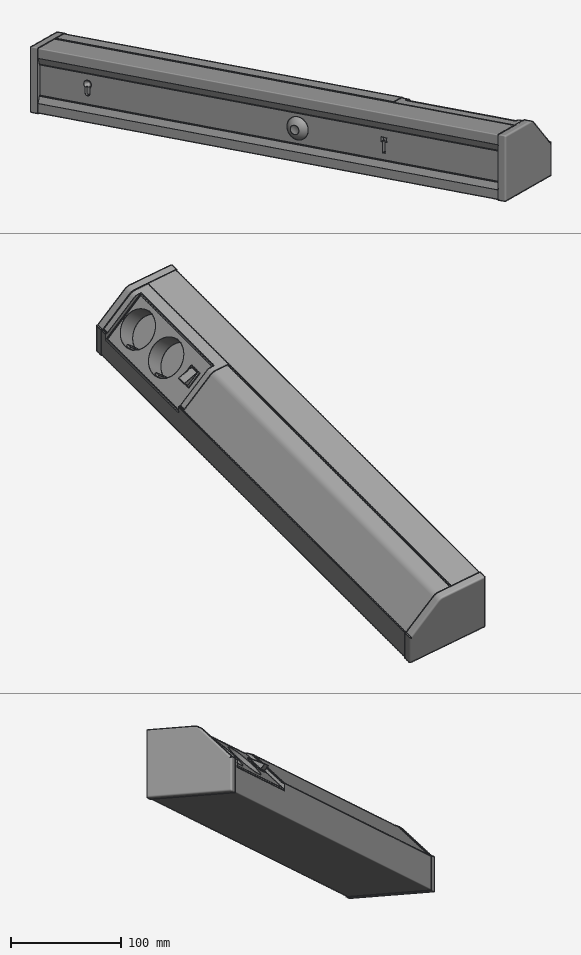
import cadquery as cq
import math

length = 499.0
depth = 84.0
height = 63.5

cap_thickness = 8.5
cap_edge_radius = 1.75
profile_inset = 0.5
corner_radius = 1.0
slope_ledge = 1.5
slope_run = 32.5
slope_foot = 32.5
slope_foot_y = depth - slope_ledge
ridge_radius = 9.0
slope_angle = math.atan2(height - slope_foot, slope_run)
mid_height = height / 2

channel_mouth = 43.5
channel_floor = 31.0
channel_depth = 2.5
strip_width = 29.5
strip_step = 1.0
floor_y = profile_inset + channel_depth + strip_step

joint_y = 32.0
joint_depth = 0.5
joint_width = 1.5
joint_x = 362.5
section_top = height - profile_inset - joint_depth

recess_start = 369.0
recess_end = 484.5
recess_depth = 5.0
panel_start = 369.5
panel_end = 483.0
panel_thickness = 1.0
panel_gap = 0.5
panel_depth = recess_depth - panel_thickness

socket_diameter = 39.0
socket_depth = 20.0
socket_centers = (416.5, 461.5)
socket_up_slope = 22.5
clip_width = 4.5
clip_reach = 2.0
clip_drop = 4.5

rocker_x = 381.5
rocker_width = 9.0
rocker_start = 18.5
rocker_end = 33.5
rocker_tall = 7.0
rocker_low = 1.5
frame_width = 13.0
frame_margin = 1.0
frame_height = 1.0

keyhole_depth = 5.0
round_keyhole_x = 58.5
round_head_diameter = 8.0
round_head_z = 36.0
round_head_taper = 36
round_slot_width = 5.0
round_slot_end_z = 27.5
round_slot_taper = 30
round_slot_depth = 1.5
square_keyhole_x = 369.0
square_head_width = 6.0
square_head_top = 38.5
square_head_bottom = 34.0
square_slot_width = 3.0
square_slot_bottom = 23.5

knob_x = 278.5
knob_diameter = 26.0
knob_overhang = 1.5
dimple_diameter = 9.0
dimple_depth = 1.0



def section(inset, x_start, x_length):
    """Housing cross-section, drawn in by inset all round and extruded along X."""
    back = depth - inset
    top = height - inset
    foot = slope_foot - inset
    inset_shift = inset * math.tan(slope_angle / 2)
    foot_y = slope_foot_y - inset_shift
    ridge_y = slope_foot_y - slope_run - inset_shift
    block = (
        cq.Workplane("YZ", origin=(x_start, 0, 0))
        .polyline([(inset, inset), (back, inset), (back, foot), (foot_y, foot), (ridge_y, top), (inset, top)])
        .close()
        .extrude(x_length)
    )
    ridge_middle = (x_start + x_length / 2, ridge_y, top)
    block = block.edges(cq.NearestToPointSelector(ridge_middle)).fillet(ridge_radius)
    return block.edges("|X and (<Y or <Z)").fillet(corner_radius)


def end_cap(x_start, outer_face):
    return section(0, x_start, cap_thickness).faces(outer_face).edges().fillet(cap_edge_radius)


def channel():
    """Trapezoid channel with a shallow step in its floor, open to -Y."""
    half_section = [
        (0, channel_mouth / 2),
        (channel_depth, channel_floor / 2),
        (channel_depth, strip_width / 2),
        (channel_depth + strip_step, strip_width / 2),
    ]
    points = [(profile_inset + y, mid_height + z) for y, z in half_section]
    points += [(profile_inset + y, mid_height - z) for y, z in reversed(half_section)]
    return (
        cq.Workplane("YZ", origin=(cap_thickness, 0, 0))
        .polyline(points)
        .close()
        .extrude(length - 2 * cap_thickness)
    )


def floor_plane(y):
    """XZ workplane at the given Y, seen from -Y, so extruding goes towards -Y."""
    return cq.Workplane("XZ", origin=(0, y, 0))


def round_keyhole():
    """Conical head with a tapered slot below it."""
    slot_length = round_head_z - round_slot_end_z + round_slot_width
    head = (
        floor_plane(floor_y)
        .center(round_keyhole_x, round_head_z)
        .circle(round_head_diameter / 2)
        .extrude(-keyhole_depth, taper=round_head_taper)
    )
    slot = (
        floor_plane(floor_y)
        .center(round_keyhole_x, (round_head_z + round_slot_end_z) / 2)
        .slot2D(slot_length, round_slot_width, 90)
        .extrude(-round_slot_depth, taper=round_slot_taper)
    )
    return head.union(slot)


def square_pocket(width, bottom):
    """Rectangular pocket from the top of the square keyhole down to the given height."""
    return (
        floor_plane(floor_y)
        .center(square_keyhole_x, (bottom + square_head_top) / 2)
        .rect(width, square_head_top - bottom)
        .extrude(-keyhole_depth)
    )


def square_keyhole():
    head = square_pocket(square_head_width, square_head_bottom)
    slot = square_pocket(square_slot_width, square_slot_bottom)
    return head.union(slot)


def slope_plane(x, up_slope, below=0.0):
    """Workplane on the slope: local x along X, local y down the slope, normal outwards."""
    y = slope_foot_y - up_slope * math.cos(slope_angle) - below * math.sin(slope_angle)
    z = slope_foot + up_slope * math.sin(slope_angle) - below * math.cos(slope_angle)
    normal = (0, math.sin(slope_angle), math.cos(slope_angle))
    return cq.Workplane(cq.Plane(origin=(x, y, z), xDir=(1, 0, 0), normal=normal))


def cover_joint():
    """Shallow groove along the cover and the slightly lower top of the socket section."""
    groove = (
        cq.Workplane("XY")
        .box(joint_x - cap_thickness, joint_width, joint_depth, centered=False)
        .translate((cap_thickness, joint_y, section_top))
    )
    section_length = length - cap_thickness - joint_x
    skin = (
        cq.Workplane("XY")
        .box(section_length, depth - joint_y, height, centered=False)
        .translate((joint_x, joint_y, slope_foot))
        .cut(section(profile_inset + joint_depth, joint_x, section_length))
    )
    return groove.union(skin)


def above_slope(x_start, x_end, below, y_end, top):
    """Space above a floor parallel to the slope, from Y = y_end up to the height top."""
    floor_z = slope_foot - below / math.cos(slope_angle)
    end_z = floor_z - (y_end - slope_foot_y) * math.tan(slope_angle)
    top_y = slope_foot_y - (top - floor_z) / math.tan(slope_angle)
    return (
        cq.Workplane("YZ", origin=(x_start, 0, 0))
        .polyline([(y_end, end_z), (y_end, top), (top_y, top)])
        .close()
        .extrude(x_end - x_start)
    )


def recess():
    """Recess with a floor parallel to the slope, open to the top face and to the +Y side."""
    return above_slope(recess_start, recess_end, recess_depth, depth, section_top)


def socket_panel():
    """Thin plate on the floor of the recess."""
    panel_top = section_top - panel_gap
    plate = above_slope(panel_start, panel_end, recess_depth, slope_foot_y, panel_top)
    return plate.cut(above_slope(panel_start, panel_end, panel_depth, slope_foot_y, panel_top))


def socket_well(x):
    """Round socket with an earth clip left standing on its lower side."""
    radius = socket_diameter / 2
    well = slope_plane(x, socket_up_slope, panel_depth).circle(radius).extrude(-socket_depth)
    clip = (
        slope_plane(x, socket_up_slope, panel_depth + clip_drop)
        .center(0, radius)
        .rect(clip_width, 2 * clip_reach)
        .extrude(clip_drop - socket_depth)
    )
    return well.cut(clip)


def rocker():
    """Wedge-shaped switch, tallest at its lower end, on a rectangular frame."""
    frame_length = rocker_end - rocker_start + 2 * frame_margin
    frame = (
        slope_plane(rocker_x, (rocker_start + rocker_end) / 2, panel_depth)
        .rect(frame_width, frame_length)
        .extrude(frame_height)
    )
    panel = slope_plane(rocker_x - rocker_width / 2, 0, panel_depth).plane
    side = cq.Plane(origin=panel.origin, xDir=-panel.yDir, normal=(1, 0, 0))
    wedge = (
        cq.Workplane(side)
        .polyline([(rocker_start, 0), (rocker_end, 0), (rocker_end, -rocker_low), (rocker_start, -rocker_tall)])
        .close()
        .extrude(rocker_width)
    )
    return frame.union(wedge)


def make_housing():
    profile = section(profile_inset, cap_thickness, length - 2 * cap_thickness)
    profile = profile.cut(channel()).cut(round_keyhole()).cut(square_keyhole())
    profile = profile.cut(cover_joint()).cut(recess())
    profile = profile.union(socket_panel())
    for x in socket_centers:
        profile = profile.cut(socket_well(x))
    profile = profile.union(rocker())
    return profile.union(end_cap(0, "<X")).union(end_cap(length - cap_thickness, ">X"))


def make_knob():
    """Spherical knob cut flat by the channel floor, with a hollow dimple in its crown."""
    knob_radius = knob_diameter / 2
    rim_radius = dimple_diameter / 2
    center_y = math.sqrt(knob_radius**2 - rim_radius**2) - knob_overhang
    ball = cq.Workplane("XY").sphere(knob_radius).translate((knob_x, center_y, mid_height))
    blank = (
        floor_plane(floor_y)
        .center(knob_x, mid_height)
        .circle(knob_radius)
        .extrude(floor_y + knob_overhang)
    )
    dimple_radius = (rim_radius**2 + dimple_depth**2) / (2 * dimple_depth)
    dimple_y = dimple_depth - dimple_radius - knob_overhang
    dimple = cq.Workplane("XY").sphere(dimple_radius).translate((knob_x, dimple_y, mid_height))
    return blank.intersect(ball).cut(dimple)


housing = make_housing()
knob = make_knob()
result = cq.Compound.makeCompound([housing.solids().val(), knob.solids().val()])